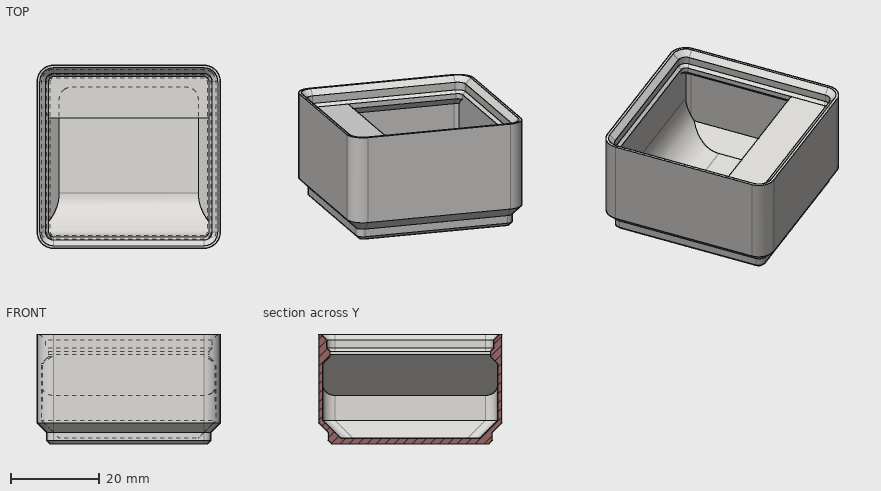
import cadquery as cq

width = 41.5
corner_radius = 3.75

foot_lower_chamfer = 0.8
foot_straight = 1.8
foot_upper_chamfer = 2.15
foot_height = foot_lower_chamfer + foot_straight + foot_upper_chamfer

rim_thickness = 0.6
lip_upper_chamfer = 1.3
lip_straight = 1.8
lip_lower_chamfer = 0.7
lip_depth = lip_upper_chamfer + lip_straight + lip_lower_chamfer
lip_inset = rim_thickness + lip_upper_chamfer + lip_lower_chamfer

shelf_top = 21.0
height = shelf_top + lip_depth

wall = 1.0
floor_thickness = 1.35
floor_slope = 4.0
pocket_radius = corner_radius - wall
neck_height = 1.2
lip_underside = lip_inset - wall
pocket_top = shelf_top - neck_height - lip_underside

scoop_radius = 10.0

shelf_front_inset = 12.0
shelf_edge_thickness = 0.75
shelf_support_height = 10.0


def rounded_square(inset, z, radius):
    """Closed square wire with rounded corners, set in from the outer wall, at height z."""
    side = width - 2 * inset
    square = cq.Workplane("XY", origin=(0, 0, z)).rect(side, side).val()
    return square.fillet2D(radius, square.Vertices())


def concentric_square(inset, z):
    """Rounded square whose corner arcs share their centres with the outer corners."""
    return rounded_square(inset, z, corner_radius - inset)


def stack(wires):
    """Straight-sided solid through the wires, joined section by section."""
    sections = [cq.Solid.makeLoft([low, high], True) for low, high in zip(wires, wires[1:])]
    solid = cq.Workplane(sections[0])
    for section in sections[1:]:
        solid = solid.union(section)
    return solid


def make_body():
    foot_inset = foot_upper_chamfer + foot_lower_chamfer
    straight_top = foot_lower_chamfer + foot_straight
    return stack([
        concentric_square(foot_inset, 0),
        concentric_square(foot_upper_chamfer, foot_lower_chamfer),
        concentric_square(foot_upper_chamfer, straight_top),
        concentric_square(0, foot_height),
        concentric_square(0, height),
    ])


def make_lip_opening():
    """Opening from the rim down to the pocket, widening again under the lip."""
    straight_inset = rim_thickness + lip_upper_chamfer
    straight_top = height - lip_upper_chamfer
    return stack([
        concentric_square(wall, pocket_top),
        concentric_square(lip_inset, pocket_top + lip_underside),
        concentric_square(lip_inset, shelf_top),
        concentric_square(straight_inset, shelf_top + lip_lower_chamfer),
        concentric_square(straight_inset, straight_top),
        concentric_square(rim_thickness, height),
    ])


def make_pocket():
    """Straight-walled pocket whose lower walls slope at 45 degrees to the floor."""
    return stack([
        rounded_square(wall + floor_slope, floor_thickness, pocket_radius),
        rounded_square(wall, floor_thickness + floor_slope, pocket_radius),
        rounded_square(wall, pocket_top, pocket_radius),
    ])


def make_scoop():
    """Concave ramp from the floor to the front wall, its top flush with the lip."""
    front = -width / 2
    face = front + lip_inset
    return (
        cq.Workplane("YZ", origin=(-width / 2, 0, 0))
        .moveTo(front, floor_thickness)
        .lineTo(face + scoop_radius, floor_thickness)
        .radiusArc((face, floor_thickness + scoop_radius), scoop_radius)
        .lineTo(face, shelf_top)
        .lineTo(front, shelf_top)
        .close()
        .extrude(width)
    )


def make_label_shelf():
    """Flat shelf with a thin front edge and a sloping underside that meets the back wall."""
    front = width / 2 - shelf_front_inset
    back = width / 2
    inner_back = back - wall
    support_bottom = shelf_top - shelf_support_height
    return (
        cq.Workplane("YZ", origin=(-width / 2, 0, 0))
        .moveTo(front, shelf_top)
        .lineTo(front, shelf_top - shelf_edge_thickness)
        .lineTo(inner_back, support_bottom)
        .lineTo(back, support_bottom)
        .lineTo(back, shelf_top)
        .close()
        .extrude(width)
    )


cavity = make_pocket().union(make_lip_opening())
cavity = cavity.cut(make_scoop()).cut(make_label_shelf())
result = make_body().cut(cavity)